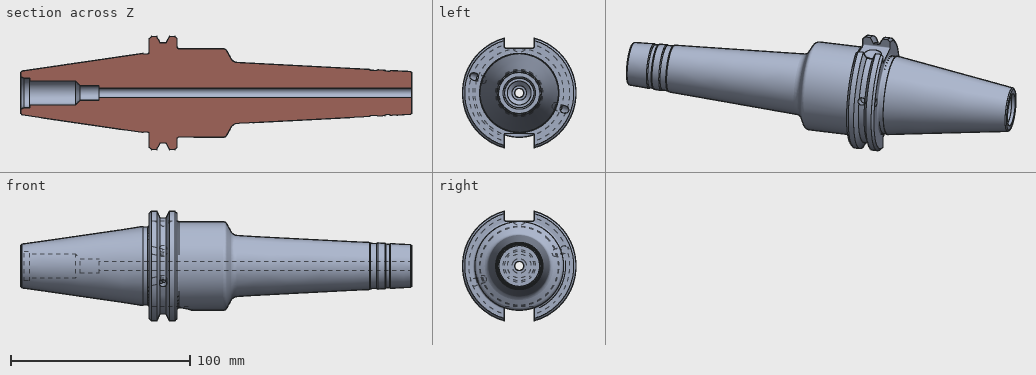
import cadquery as cq
import math

total_length = 218.2

taper_slope = 7 / 48
taper_length = 68.3
shank_end_radius = 12.2
shank_chamfer = 0.7
taper_radius = shank_end_radius + taper_slope * taper_length
neck_radius = 21.8
neck_fillet = 0.9

flange_start = 71.5
flange_end = 87.3
flange_radius = 63.5 / 2
flange_chamfer = 1.3
groove_floor_radius = 28.2
groove_floor_width = 3.3
groove_mouth_width = 7.0
flange_middle = (flange_start + flange_end) / 2

body_radius = 49.5 / 2
body_end = 114.4
body_fillet = 1.0
edge_round = 2.5
shoulder_length = 4.1
shoulder_fillet = 4.0

nose_slope = math.tan(math.radians(3))
nose_end_radius = 12.0
nose_chamfer = 0.7
nose_groove_depth = 0.5
nose_groove_wall_run = 0.7
nose_grooves = ((194.7, 199.3), (203.2, 206.5))

coolant_radius = 5.0 / 2
pilot_radius = 8.0 / 2
thread_radius = 13.3 / 2
counterbore_radius = 16.4 / 2
counterbore_chamfer = 0.9
counterbore_chamfer_length = 1.7
counterbore_depth = 5.0
thread_depth = 30.5
pilot_depth = 43.6

slot_width = 16.5
slot_floor_fillet = 0.7
upper_slot_floor = 25.0
lower_slot_floor = 22.5
dimple_diameter = 9.5
dimple_depth = 3.0

inlet_angle = 20.0
face_hole_diameter = 4.1
face_hole_circle_radius = 26.8
face_hole_slant = math.radians(35)
radial_hole_diameter = 4.1


def nose_radius(x):
    return nose_end_radius + nose_slope * (total_length - x)


def revolve_about_x(outline):
    return outline.close().revolve(360, (0, 0, 0), (1, 0, 0))


def make_shank_and_flange():
    outline = (
        cq.Workplane("XY")
        .moveTo(0, 0)
        .lineTo(0, shank_end_radius - shank_chamfer)
        .lineTo(shank_chamfer, shank_end_radius + taper_slope * shank_chamfer)
        .lineTo(taper_length, taper_radius)
        .lineTo(taper_length, neck_radius)
        .lineTo(flange_start - neck_fillet, neck_radius)
        .radiusArc((flange_start, neck_radius + neck_fillet), -neck_fillet)
        .lineTo(flange_start, flange_radius - flange_chamfer)
        .lineTo(flange_start + flange_chamfer, flange_radius)
        .lineTo(flange_middle - groove_mouth_width / 2, flange_radius)
        .lineTo(flange_middle - groove_floor_width / 2, groove_floor_radius)
        .lineTo(flange_middle + groove_floor_width / 2, groove_floor_radius)
        .lineTo(flange_middle + groove_mouth_width / 2, flange_radius)
        .lineTo(flange_end - flange_chamfer, flange_radius)
        .lineTo(flange_end, flange_radius - flange_chamfer)
        .lineTo(flange_end, 0)
    )
    return revolve_about_x(outline)


def make_body_and_nose():
    shoulder_foot = body_end + shoulder_length
    outline = (
        cq.Workplane("XY")
        .moveTo(flange_end, 0)
        .lineTo(flange_end, body_radius + body_fillet)
        .radiusArc((flange_end + body_fillet, body_radius), -body_fillet)
        .lineTo(body_end, body_radius)
        .lineTo(shoulder_foot, nose_radius(shoulder_foot))
        .lineTo(total_length - nose_chamfer, nose_radius(total_length - nose_chamfer))
        .lineTo(total_length, nose_end_radius - nose_chamfer)
        .lineTo(total_length, 0)
    )
    solid = revolve_about_x(outline)
    for x, radius in ((body_end, edge_round), (shoulder_foot, shoulder_fillet)):
        solid = solid.edges(cq.selectors.NearestToPointSelector((x, 0, 0))).fillet(radius)
    return solid


def make_nose_groove(start, end):
    """Ring with sloped side walls and a floor that follows the nose taper."""
    floor_start = start + nose_groove_wall_run
    floor_end = end - nose_groove_wall_run
    outline = (
        cq.Workplane("XY")
        .moveTo(start, nose_radius(start))
        .lineTo(floor_start, nose_radius(floor_start) - nose_groove_depth)
        .lineTo(floor_end, nose_radius(floor_end) - nose_groove_depth)
        .lineTo(end, nose_radius(end))
        .lineTo(end, body_radius)
        .lineTo(start, body_radius)
    )
    return revolve_about_x(outline)


def make_bore():
    """Stepped bore: chamfered counterbore, thread core, conical floor, pilot and through hole."""
    outline = (
        cq.Workplane("XY")
        .moveTo(0, 0)
        .lineTo(0, counterbore_radius + counterbore_chamfer)
        .lineTo(counterbore_chamfer_length, counterbore_radius)
        .lineTo(counterbore_depth, counterbore_radius)
        .lineTo(counterbore_depth, thread_radius)
        .lineTo(thread_depth, thread_radius)
        .lineTo(thread_depth + thread_radius - pilot_radius, pilot_radius)
        .lineTo(pilot_depth, pilot_radius)
        .lineTo(pilot_depth, coolant_radius)
        .lineTo(total_length, coolant_radius)
        .lineTo(total_length, 0)
    )
    return revolve_about_x(outline)


def make_drive_slot(floor, side):
    """Slot on the +Z (side 1) or -Z (side -1) face, with a rounded end behind the flange."""
    height = flange_radius
    middle = side * (floor + height / 2)
    start = flange_start - 2 * slot_floor_fillet
    length = flange_end - start
    straight = cq.Workplane("XY").box(length, slot_width, height)
    straight = straight.translate((start + length / 2, 0, middle))
    rounded_end = cq.Workplane("XY").circle(slot_width / 2).extrude(height / 2, both=True)
    slot = straight.union(rounded_end.translate((flange_end, 0, middle)))
    floor_face = "<Z" if side > 0 else ">Z"
    return slot.faces(floor_face).edges().fillet(slot_floor_fillet)


def make_dimple():
    """Conical dimple in the floor of the upper slot."""
    rim_centre = cq.Vector(flange_middle, 0, upper_slot_floor)
    cone = cq.Solid.makeCone(dimple_diameter / 2, 0, dimple_depth, rim_centre, cq.Vector(0, 0, -1))
    return cq.Workplane(cone)


def make_coolant_inlet(angle):
    """Slanted face hole and radial groove hole, at an angle from +Y, ending where their axes meet."""
    run = flange_middle - flange_start
    meeting_radius = face_hole_circle_radius - run * math.tan(face_hole_slant)
    slant_direction = cq.Vector(math.cos(face_hole_slant), -math.sin(face_hole_slant), 0)
    mouth = cq.Vector(flange_start, face_hole_circle_radius, 0)
    hole_length = run / math.cos(face_hole_slant)
    face_hole = cq.Solid.makeCylinder(
        face_hole_diameter / 2,
        hole_length + face_hole_diameter,
        mouth - slant_direction * face_hole_diameter,
        slant_direction,
    )
    radial_hole = cq.Solid.makeCylinder(
        radial_hole_diameter / 2,
        flange_radius - meeting_radius,
        cq.Vector(flange_middle, meeting_radius, 0),
        cq.Vector(0, 1, 0),
    )
    return cq.Workplane(face_hole.fuse(radial_hole)).rotate((0, 0, 0), (1, 0, 0), angle)


result = make_shank_and_flange().union(make_body_and_nose())
result = result.cut(make_bore())
for groove_start, groove_end in nose_grooves:
    result = result.cut(make_nose_groove(groove_start, groove_end))
result = result.cut(make_drive_slot(upper_slot_floor, 1))
result = result.cut(make_drive_slot(lower_slot_floor, -1))
result = result.cut(make_dimple())
for hole_angle in (inlet_angle, inlet_angle + 180):
    result = result.cut(make_coolant_inlet(hole_angle))